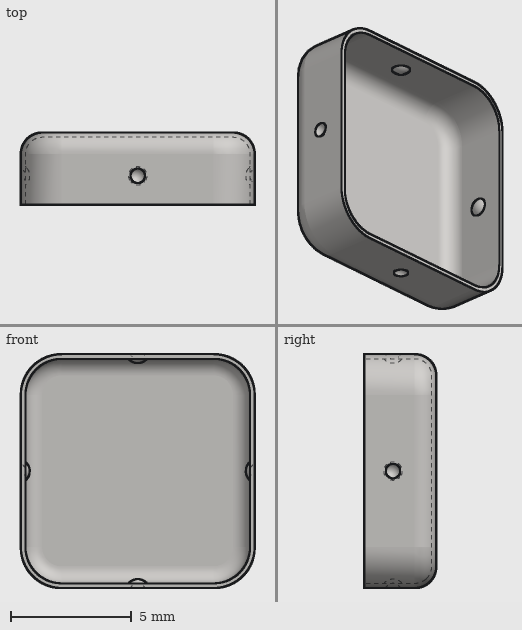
import cadquery as cq

side = 9.7
depth = 3.0
wall = 0.2
side_count = 4
corner_radius = 1.7
floor_edge_radius = 0.9

dimple_from_rim = 1.2
dimple_mouth_radius = 0.3
bump_base_radius = 0.38
bump_height = 0.18


def rounded_block(width, length, corner, floor_edge):
    """Square block from the rim plane Y=0 toward +Y, rounded around its far end."""
    block = cq.Workplane("XZ").rect(width, width).extrude(-length)
    block = block.edges("|Y").fillet(corner)
    return block.faces(">Y").edges().fillet(floor_edge)


def on_each_wall(tool):
    """Repeat a tool placed on the +X wall on every wall, turning it about the Y axis."""
    joined = tool
    for index in range(1, side_count):
        angle = index * 360 / side_count
        joined = joined.union(tool.rotate((0, 0, 0), (0, 1, 0), angle))
    return joined


bump_radius = (bump_base_radius**2 + bump_height**2) / (2 * bump_height)
centre_x = side / 2 - wall - bump_height + bump_radius
centre_offset = centre_x - side / 2
dimple_radius = (dimple_mouth_radius**2 + centre_offset**2) ** 0.5


def wall_sphere(radius):
    """Sphere at the shared bump and dimple centre of the +X wall."""
    return cq.Workplane("XY").sphere(radius).translate((centre_x, dimple_from_rim, 0))


outer = rounded_block(side, depth, corner_radius, floor_edge_radius)
cavity = rounded_block(
    side - 2 * wall, depth - wall, corner_radius - wall, floor_edge_radius - wall
)

bumps = on_each_wall(wall_sphere(bump_radius)).intersect(outer)
dimples = on_each_wall(wall_sphere(dimple_radius))

result = outer.cut(cavity).union(bumps).cut(dimples)